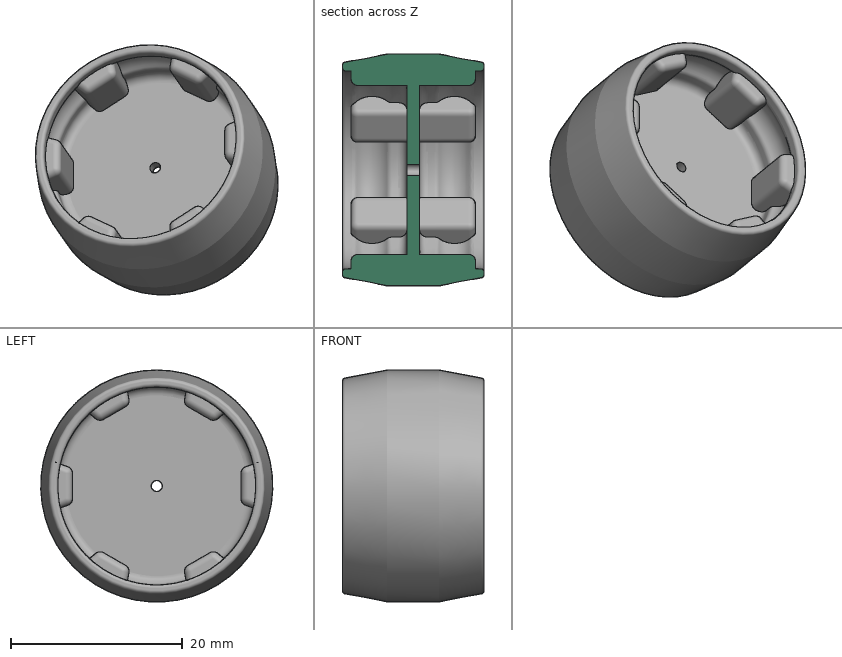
import cadquery as cq
import math

width = 16.5
crown_radius = 13.5
crown_width = 6.0
end_radius = 12.5
outer_rim_fillet = 0.4

cavity_depth = 7.5
bore_radius = 11.5
inner_rim_fillet = 0.4
floor_fillet = 1.0
vent_diameter = 1.25

groove_arc_radius = 2.5
groove_bottom_radius = 12.45
groove_depth_from_end = 3.45
groove_lip_radius = 0.8

rib_count = 6
rib_inner_radius = 9.8
rib_inner_width = 4.08
rib_flank_angle = 20.0
rib_setback = 1.0
rib_fillet = 0.8

half_width = width / 2


def make_body():
    """Crowned cylinder with tapered shoulders and rounded end edges."""
    profile = (
        cq.Workplane("XZ")
        .moveTo(-half_width, 0)
        .lineTo(-half_width, end_radius)
        .lineTo(-crown_width / 2, crown_radius)
        .lineTo(crown_width / 2, crown_radius)
        .lineTo(half_width, end_radius)
        .lineTo(half_width, 0)
        .close()
    )
    body = profile.revolve(360, (0, 0, 0), (1, 0, 0))
    return body.faces("<X or >X").edges().fillet(outer_rim_fillet)


def make_cavity():
    """Space inside the -X end: rounded mouth, grooved wall and filleted floor."""
    mouth_x = -half_width
    floor_x = mouth_x + cavity_depth
    groove_x = mouth_x + groove_depth_from_end
    groove_center_radius = groove_bottom_radius - groove_arc_radius

    lip_rise = bore_radius + groove_lip_radius - groove_center_radius
    center_distance = groove_arc_radius + groove_lip_radius
    lip_offset = math.sqrt(center_distance**2 - lip_rise**2)
    arc_share = groove_arc_radius / center_distance
    groove_end_offset = lip_offset * arc_share
    groove_end_radius = groove_center_radius + lip_rise * arc_share

    profile = (
        cq.Workplane("XZ")
        .moveTo(mouth_x, 0)
        .lineTo(mouth_x, bore_radius + inner_rim_fillet)
        .radiusArc((mouth_x + inner_rim_fillet, bore_radius), -inner_rim_fillet)
        .lineTo(groove_x - lip_offset, bore_radius)
        .radiusArc((groove_x - groove_end_offset, groove_end_radius), -groove_lip_radius)
        .threePointArc((groove_x, groove_bottom_radius), (groove_x + groove_end_offset, groove_end_radius))
        .radiusArc((groove_x + lip_offset, bore_radius), -groove_lip_radius)
        .lineTo(floor_x - floor_fillet, bore_radius)
        .radiusArc((floor_x, bore_radius - floor_fillet), floor_fillet)
        .lineTo(floor_x, 0)
        .close()
    )
    return profile.revolve(360, (0, 0, 0), (1, 0, 0))


def make_rib():
    """One rib on the +Y side, widening toward the wall, rounded where it faces the cavity."""
    half_inner = rib_inner_width / 2
    rise = crown_radius - rib_inner_radius
    half_outer = half_inner + rise * math.tan(math.radians(rib_flank_angle))
    front_x = -half_width + rib_setback
    rib = (
        cq.Workplane("YZ", origin=(front_x, 0, 0))
        .moveTo(rib_inner_radius, -half_inner)
        .lineTo(crown_radius, -half_outer)
        .lineTo(crown_radius, half_outer)
        .lineTo(rib_inner_radius, half_inner)
        .close()
        .extrude(cavity_depth)
    )
    inner_edges = rib.faces("<Y").edges("not >X")
    flank_edges = rib.faces("<X").edges("not >Y").edges("not <Y")
    return rib.newObject(inner_edges.vals() + flank_edges.vals()).fillet(rib_fillet)


def make_hollow():
    """Cavity of the -X end with the ribs taken out of it."""
    hollow = make_cavity()
    rib = make_rib()
    for index in range(rib_count):
        angle = index * 360 / rib_count
        hollow = hollow.cut(rib.rotate((0, 0, 0), (1, 0, 0), angle))
    return hollow


hollow = make_hollow()
vent = cq.Workplane("YZ").circle(vent_diameter / 2).extrude(half_width, both=True)
result = make_body().cut(hollow).cut(hollow.mirror("YZ")).cut(vent)